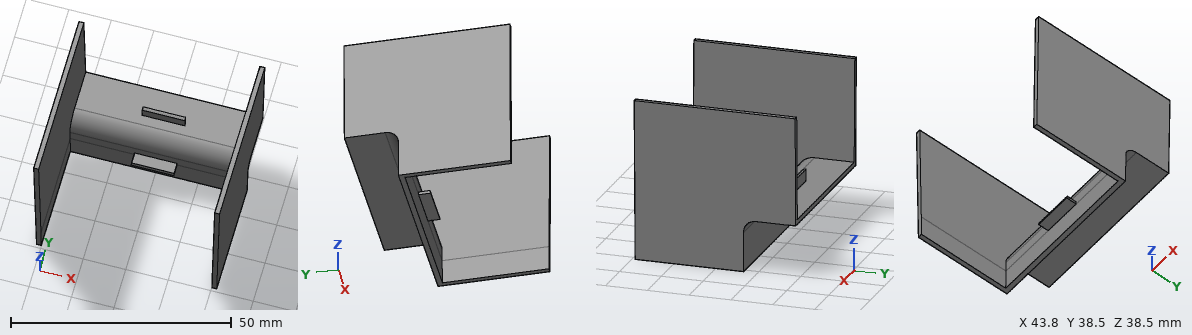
import cadquery as cq
import math

WIDTH = 43.75
SIZE = 38.5
THICKNESS = 1.2

PLATE_DRAFT = 1.0
FOOT_DRAFT = 0.5
FOOT_HEIGHT = 6.4

NOTCH = 12.5
INNER_RADIUS = 3.0
WEB_FOOT_DRAFT = 1.0

TAB_LENGTH = 10.0
TAB_THICKNESS = 0.8
TAB_HEIGHT = 2.8
TAB_TIP_RADIUS = 1.75

HALF_WIDTH = WIDTH / 2
HALF_SIZE = SIZE / 2
WEB_REACH = NOTCH + THICKNESS
OUTER_RADIUS = INNER_RADIUS + THICKNESS
TAB_OFFSET = FOOT_HEIGHT


def draft_run(height, angle):
    """Sideways shift of a drafted face over the given height."""
    return height * math.tan(math.radians(angle))


def symmetric_prism(right_side):
    """Full-depth block between the given right-hand XZ outline and its mirror image."""
    left_side = [(-x, z) for x, z in reversed(right_side)]
    return cq.Workplane("XZ").polyline(right_side + left_side).close().extrude(HALF_SIZE, both=True)


def corner_block(reach, radius, foot_flare=0):
    """Bar along X in the back lower corner with a rounded inward edge and a flared foot."""
    front = HALF_SIZE - reach
    block = (
        cq.Workplane("YZ")
        .moveTo(HALF_SIZE, 0)
        .lineTo(HALF_SIZE, reach)
        .lineTo(front + radius, reach)
        .radiusArc((front, reach - radius), -radius)
        .lineTo(front, FOOT_HEIGHT)
        .lineTo(front - foot_flare, 0)
        .close()
    )
    return block.extrude(HALF_WIDTH, both=True)


def upright_tab():
    """Tab standing on the horizontal leg, its tip curving down from back to front."""
    root = NOTCH + THICKNESS / 2
    tip = WEB_REACH + TAB_HEIGHT
    tip_drop = TAB_TIP_RADIUS - math.sqrt(TAB_TIP_RADIUS**2 - TAB_THICKNESS**2)
    back = HALF_SIZE - TAB_OFFSET
    front = back - TAB_THICKNESS
    return (
        cq.Workplane("YZ")
        .moveTo(back, root)
        .lineTo(back, tip)
        .radiusArc((front, tip - tip_drop), -TAB_TIP_RADIUS)
        .lineTo(front, root)
        .close()
        .extrude(TAB_LENGTH / 2, both=True)
    )


def swap_legs(body):
    """Mirror a feature of the horizontal leg onto the upright leg of the web."""
    back_corner = (0, HALF_SIZE, 0)
    return body.mirror("XZ", back_corner).rotate(back_corner, (1, HALF_SIZE, 0), 90)


envelope = symmetric_prism([
    (HALF_WIDTH - draft_run(SIZE, PLATE_DRAFT), 0),
    (HALF_WIDTH, SIZE),
])
channel_top = HALF_WIDTH - THICKNESS
channel_foot = channel_top - draft_run(SIZE - FOOT_HEIGHT, PLATE_DRAFT)
channel = symmetric_prism([
    (channel_foot - draft_run(FOOT_HEIGHT, FOOT_DRAFT), 0),
    (channel_foot, FOOT_HEIGHT),
    (channel_top, SIZE),
])
plates = envelope.cut(channel)

web_flare = draft_run(FOOT_HEIGHT, WEB_FOOT_DRAFT)
web = corner_block(WEB_REACH, OUTER_RADIUS, web_flare).intersect(envelope)
notch = corner_block(NOTCH, INNER_RADIUS)

horizontal_leg_tab = upright_tab()
upright_leg_tab = swap_legs(horizontal_leg_tab)

result = plates.union(web).cut(notch).union(horizontal_leg_tab).union(upright_leg_tab)